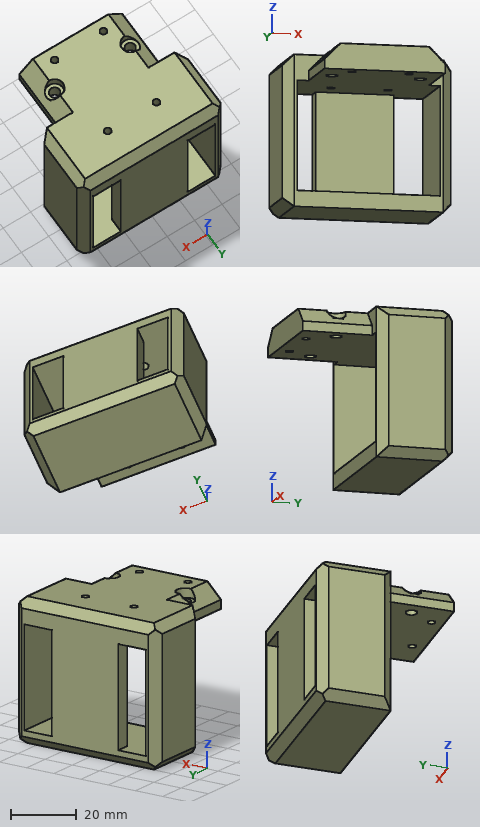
import cadquery as cq

FRAME_WIDTH = 52.6
FRAME_DEPTH = 24.0
FRAME_HEIGHT = 47.0
FRAME_CHAMFER = 3.0

SIDE_WALL = 4.0
FLOOR_THICKNESS = 5.0
ROOF_THICKNESS = 8.0
BACK_THICKNESS = 5.0
BACK_PANEL_WIDTH = 24.4
OPENING_WIDTH = FRAME_WIDTH - 2 * SIDE_WALL
OPENING_HEIGHT = FRAME_HEIGHT - FLOOR_THICKNESS - ROOF_THICKNESS

PLATE_LENGTH = 22.0
PLATE_CHAMFER = 5.0
BOLT_SPACING = 27.6
PLATE_WIDTH = BOLT_SPACING + 2 * PLATE_CHAMFER

BOLT_DIAMETER = 3.5
BOLT_HEAD_DIAMETER = 6.0
SEAT_CLEARANCE = 0.01
BOLT_HEAD_DEPTH = BOLT_HEAD_DIAMETER / 2 - SEAT_CLEARANCE
BOLT_FROM_TIP = 12.0

SCREW_DIAMETER = 2.3
SCREW_SPACING_X = 17.8
SCREW_SPACING_Y = 29.2
SCREW_PATTERN_OFFSET_X = -0.4
SCREW_FROM_TIP = 4.0


def chamfered_block(edge_selector):
    """Frame-sized box with only the selected parallel edges chamfered."""
    block = cq.Workplane("XY").box(
        FRAME_WIDTH, FRAME_DEPTH, FRAME_HEIGHT, centered=(True, False, False)
    )
    return block.edges(edge_selector).chamfer(FRAME_CHAMFER)


def make_frame():
    """Box chamfered on every edge except the front top and front bottom ones.

    Intersecting one block per edge direction makes the three chamfers at each
    rear corner meet in a single point.
    """
    lengthwise = chamfered_block("|Y")
    upright = chamfered_block("|Z")
    crosswise = chamfered_block("|X and >Y")
    return lengthwise.intersect(upright).intersect(crosswise)


def make_opening():
    """Cavity open at the front, plus the full opening behind it less the back panel."""
    opening = (
        cq.Workplane("XY")
        .box(OPENING_WIDTH, FRAME_DEPTH, OPENING_HEIGHT, centered=(True, False, False))
        .translate((0, 0, FLOOR_THICKNESS))
    )
    back_panel = (
        cq.Workplane("XY")
        .box(BACK_PANEL_WIDTH, BACK_THICKNESS, OPENING_HEIGHT, centered=(True, False, False))
        .translate((0, FRAME_DEPTH - BACK_THICKNESS, FLOOR_THICKNESS))
    )
    return opening.cut(back_panel)


def make_plate():
    """Plate flush with the roof, bevelled along both long top edges.

    It runs back to the rear of the cavity so that it merges with the roof.
    """
    length = PLATE_LENGTH + FRAME_DEPTH - BACK_THICKNESS
    plate = (
        cq.Workplane("XY")
        .box(PLATE_WIDTH, length, ROOF_THICKNESS, centered=(True, False, False))
        .translate((0, -PLATE_LENGTH, FRAME_HEIGHT - ROOF_THICKNESS))
    )
    return plate.edges("|Y and >Z").chamfer(PLATE_CHAMFER)


def drill_bolt_holes(body):
    bolt_y = BOLT_FROM_TIP - PLATE_LENGTH
    positions = [(side * BOLT_SPACING / 2, bolt_y) for side in (-1, 1)]
    top = cq.Workplane("XY", origin=(0, 0, FRAME_HEIGHT)).pushPoints(positions)
    shafts = top.circle(BOLT_DIAMETER / 2).extrude(-ROOF_THICKNESS)
    heads = top.circle(BOLT_HEAD_DIAMETER / 2).extrude(-BOLT_HEAD_DEPTH)
    return body.cut(shafts).cut(heads)


def drill_screw_holes(body):
    front_y = SCREW_FROM_TIP - PLATE_LENGTH
    positions = [
        (SCREW_PATTERN_OFFSET_X + side * SCREW_SPACING_X / 2, y)
        for side in (-1, 1)
        for y in (front_y, front_y + SCREW_SPACING_Y)
    ]
    holes = (
        cq.Workplane("XY", origin=(0, 0, FRAME_HEIGHT))
        .pushPoints(positions)
        .circle(SCREW_DIAMETER / 2)
        .extrude(-ROOF_THICKNESS)
    )
    return body.cut(holes)


body = make_frame().cut(make_opening()).union(make_plate())
body = drill_bolt_holes(body)
result = drill_screw_holes(body)